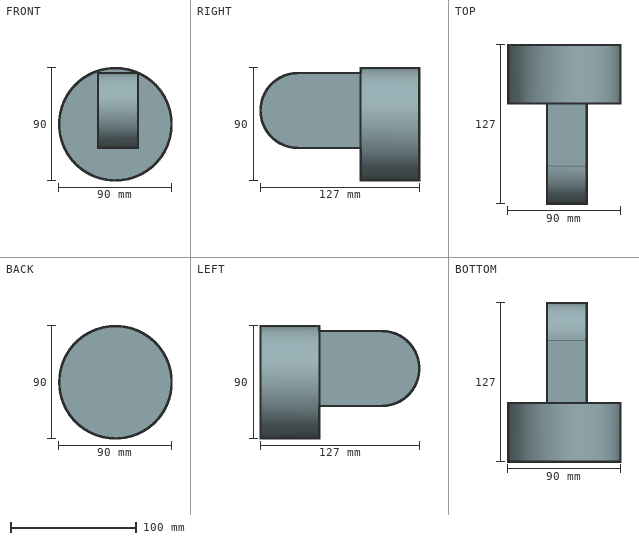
import cadquery as cq

base_diameter = 90.0
base_length = 47.0

tongue_thickness = 32.0
tongue_height = 60.0
tongue_straight_length = 50.0
tongue_offset_x = 2.0
tongue_offset_z = 11.0


def make_base():
    """Cylinder running from the front face back toward +Y."""
    return cq.Workplane("XZ").circle(base_diameter / 2).extrude(-base_length)


def make_tongue():
    """Tongue profile in the YZ plane, extruded across its thickness in X."""
    end_radius = tongue_height / 2
    bottom = tongue_offset_z - end_radius
    top = tongue_offset_z + end_radius
    tip = -(tongue_straight_length + end_radius)
    side_x = tongue_offset_x - tongue_thickness / 2
    return (
        cq.Workplane("YZ", origin=(side_x, 0, 0))
        .moveTo(0, bottom)
        .lineTo(-tongue_straight_length, bottom)
        .threePointArc((tip, tongue_offset_z), (-tongue_straight_length, top))
        .lineTo(0, top)
        .close()
        .extrude(tongue_thickness)
    )


result = make_base().union(make_tongue())